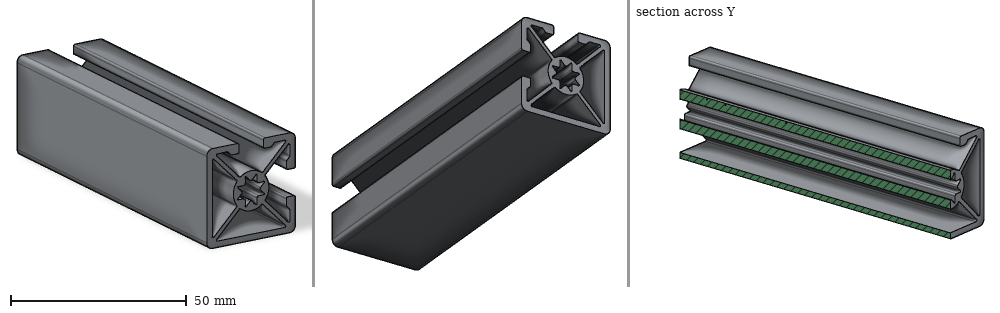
import cadquery as cq
import math

LENGTH = 100.0
SIZE = 30.0
CORNER_RADIUS = 2.0
WALL = 1.9
WEB = 1.27
WEB_ANGLE = 45
CHAMBER_FILLET = 0.35
CORE_FILLET = 0.3

SLOT_WIDTH = 8.2
LIP_DEPTH = 3.1
LIP_FACE_WIDTH = 2.65
LIP_OUTER_RADIUS = 0.6
LIP_INNER_RADIUS = 0.5
LIP_STEP_RADIUS = 0.5
LIP_BASE_WIDTH = 4.5

CORE_DIAMETER = 12.0
LOBE_COUNT = 8
LOBE_NOSE_ANGLE = 90
LOBE_NOSE_RADIUS = 2.8
LOBE_FILLET = 0.6
GROOVE_FILLET = 0.18

SLOT_SIDES = (0, -90)
CLOSED_SIDES = (90, 180)

OUTER_FACE = SIZE / 2
WALL_FACE = OUTER_FACE - WALL
LIP_FACE = OUTER_FACE - LIP_DEPTH
SLOT_HALF = SLOT_WIDTH / 2
LIP_STEP = SLOT_HALF + LIP_FACE_WIDTH
LIP_BACK = SLOT_HALF + LIP_BASE_WIDTH


def section():
    """Sketch plane of the profile: local x is +Y, local y is +Z."""
    return cq.Workplane("YZ")


def polar(radius, angle):
    """Point of the profile at a radius and an angle in degrees."""
    return (radius * math.cos(math.radians(angle)), radius * math.sin(math.radians(angle)))


def turned(body, angle):
    """Copy of a body rotated about the profile axis."""
    return body.rotate((0, 0, 0), (1, 0, 0), angle)


def rounded(body, corners, radius):
    """Body with the long edges at the given profile corners filleted."""
    for y, z in corners:
        nearest = cq.selectors.NearestToPointSelector((LENGTH / 2, y, z))
        body = body.edges("|X").edges(nearest).fillet(radius)
    return body


def outer_bar():
    """Square bar with rounded long edges."""
    bar = section().rect(SIZE, SIZE).extrude(LENGTH)
    return bar.edges("|X").fillet(CORNER_RADIUS)


def chamber():
    """Space between two diagonal webs, the core tube and the wall on the +Z side."""
    apex = WEB / 2 / math.cos(math.radians(WEB_ANGLE))
    half_width = (WALL_FACE - apex) / math.tan(math.radians(WEB_ANGLE))
    wedge = (
        section()
        .polyline([(0, apex), (half_width, WALL_FACE), (-half_width, WALL_FACE)])
        .close()
        .extrude(LENGTH)
    )
    wedge = rounded(wedge, [(half_width, WALL_FACE), (-half_width, WALL_FACE)], CHAMBER_FILLET)
    core_radius = CORE_DIAMETER / 2
    core = section().circle(core_radius).extrude(LENGTH)
    root_angle = WEB_ANGLE + math.degrees(math.asin(WEB / 2 / core_radius))
    web_roots = [polar(core_radius, root_angle), polar(core_radius, 180 - root_angle)]
    return rounded(wedge.cut(core), web_roots, CORE_FILLET)


def lip():
    """Thickened wall edge on the +Y side of the slot, with a rounded 45-degree step back to the wall."""
    opening_corner = (SLOT_HALF, OUTER_FACE)
    inner_corner = (SLOT_HALF, LIP_FACE)
    step_start = (LIP_STEP, LIP_FACE)
    step_end = (LIP_STEP + WALL_FACE - LIP_FACE, WALL_FACE)
    wall_end = [(LIP_BACK, WALL_FACE), (LIP_BACK, OUTER_FACE)]
    outline = [opening_corner, inner_corner, step_start, step_end] + wall_end
    body = section().polyline(outline).close().extrude(LENGTH)
    body = rounded(body, [opening_corner], LIP_OUTER_RADIUS)
    body = rounded(body, [inner_corner], LIP_INNER_RADIUS)
    return rounded(body, [step_start, step_end], LIP_STEP_RADIUS)


def slot_gap():
    """Wall removed on the +Z side, up to the backs of both lips."""
    return section().center(0, OUTER_FACE - WALL / 2).rect(2 * LIP_BACK, WALL).extrude(LENGTH)


def bore():
    """Star-shaped bore: lobes point inwards, with a narrow groove between each pair."""
    lobe_pitch = 360 / LOBE_COUNT
    half_pitch = lobe_pitch / 2
    half_nose = LOBE_NOSE_ANGLE / 2
    flank_ratio = math.sin(math.radians(half_nose)) / math.sin(math.radians(half_nose - half_pitch))
    groove_radius = LOBE_NOSE_RADIUS * flank_ratio
    noses = [polar(LOBE_NOSE_RADIUS, index * lobe_pitch) for index in range(LOBE_COUNT)]
    grooves = [polar(groove_radius, index * lobe_pitch + half_pitch) for index in range(LOBE_COUNT)]
    outline = []
    for nose, groove in zip(noses, grooves):
        outline += [nose, groove]
    star = section().polyline(outline).close().extrude(LENGTH)
    star = rounded(star, noses, LOBE_FILLET)
    return rounded(star, grooves, GROOVE_FILLET)


def profile():
    """Complete extrusion: two slotted sides and two closed sides around the core."""
    body = outer_bar()
    for angle in SLOT_SIDES + CLOSED_SIDES:
        body = body.cut(turned(chamber(), angle))
    lips = lip().union(lip().mirror("XZ"))
    for angle in SLOT_SIDES:
        body = body.cut(turned(slot_gap(), angle))
        body = body.union(turned(lips, angle))
    return body.cut(bore())


result = profile()